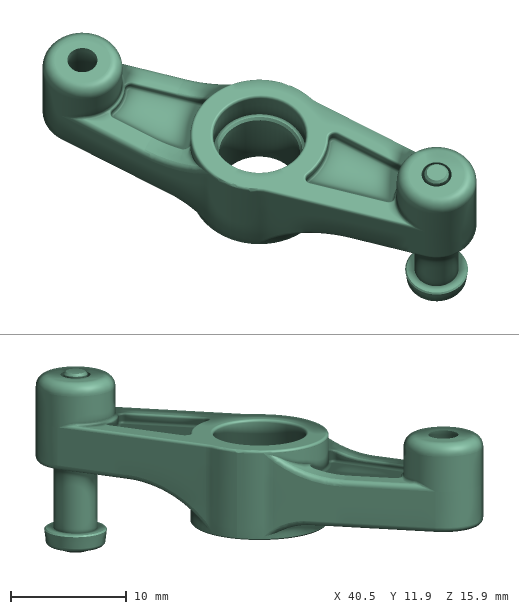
import cadquery as cq
import math

BOSS_SPACING = 33.55
BOSS_RADIUS = 3.45
BOSS_CROWN = 1.0
BOSS_HOLE_RADIUS = 1.3
BOSS_FOOT = 0.25

HUB_RADIUS = 5.96
HUB_HEIGHT = 8.0
BORE_RADIUS = 3.495
BORE_CHAMFER = 0.2
HUB_BOTTOM_EDGE = 0.12
SEAT_RADIUS = 4.0
SEAT_DEPTH = 2.5

FLANK_ANGLE = 7.6
FLANK_BLEND = 3.05

LEFT_BOTTOM = 1.45
LEFT_TOP = 5.65
LEFT_BOSS_TOP = 9.35
LEFT_TOP_SWEEP_START = 9.05
LEFT_TOP_SWEEP = 10.1
LEFT_BOTTOM_SWEEP_START = 6.25
LEFT_BOTTOM_SWEEP = 5.65

RIGHT_BOTTOM = 3.88
RIGHT_BOSS_TOP = 11.65
RIGHT_SWEEP_START = 10.63
RIGHT_SWEEP = 10.1

ARM_EDGE = 0.5
RIM_EDGE = 0.25
SWEEP_OVERRUN = 1.2

POCKET_WALL = 2.0
RIGHT_POCKET_DEPTH = 0.9
LEFT_POCKET_DEPTH = 0.53
POCKET_CORNER = 0.5
POCKET_FLOOR_FILLET = 0.25
POCKET_RIM_FILLET = 0.2

SHANK_RADIUS = 1.9
STUB_RADIUS = 1.05
STUB_CHAMFER = 0.2
STUB_TOP = 11.9
HEAD_RADIUS = 2.7
HEAD_LOWER_RADIUS = 2.6
HEAD_TOP = -2.05
HEAD_BOTTOM = -4.0
HEAD_LIP = 0.12
HEAD_SIDE = 1.15
HEAD_CORNER = 0.4
HEAD_FLAT_RADIUS = 1.15

BOSS_X = BOSS_SPACING / 2
THETA = math.radians(FLANK_ANGLE)
FLANK_DISTANCE = BOSS_X * math.sin(THETA) + BOSS_RADIUS
NORMAL_ANGLE = math.pi / 2 - THETA


COS_45 = math.sqrt(0.5)
TOLERANCE = 0.005


def polar(radius, angle, center_x=0.0):
    """Point at a radius and angle around a center on the X axis."""
    return (center_x + radius * math.cos(angle), radius * math.sin(angle))


def mirrored(point):
    """The same point on the other side of the X axis."""
    return (point[0], -point[1])


def sweep_drop(radius, run):
    """Distance an arc departs from its tangent line after a run along that line."""
    return radius - math.sqrt(radius**2 - run**2)


def sweep_to_hub(sketch, radius, start, rise, direction):
    """Arc leaving a flat at `start`, toward the hub, until it has risen by `rise`."""
    run = math.sqrt(radius**2 - (radius - rise) ** 2)
    middle = (start[0] - run / 2, start[1] + direction * sweep_drop(radius, run / 2))
    end = (start[0] - run, start[1] + direction * rise)
    return sketch.threePointArc(middle, end)


def arm_plan(height):
    """Half of the rocker outline on the +X side, extruded this far above and below Z = 0."""
    blend_distance = HUB_RADIUS + FLANK_BLEND
    hub_angle = NORMAL_ANGLE - math.acos((FLANK_DISTANCE + FLANK_BLEND) / blend_distance)
    center = polar(blend_distance, hub_angle)

    def blend_point(angle):
        return (center[0] - FLANK_BLEND * math.cos(angle), center[1] - FLANK_BLEND * math.sin(angle))

    hub_top = (0, HUB_RADIUS)
    hub_middle = polar(HUB_RADIUS, (hub_angle + math.pi / 2) / 2)
    hub_end = polar(HUB_RADIUS, hub_angle)
    blend_middle = blend_point((hub_angle + NORMAL_ANGLE) / 2)
    blend_end = blend_point(NORMAL_ANGLE)
    boss_start = polar(BOSS_RADIUS, NORMAL_ANGLE, BOSS_X)
    boss_tip = (BOSS_X + BOSS_RADIUS, 0)
    return (
        cq.Workplane("XY", origin=(0, 0, -height))
        .moveTo(*hub_top)
        .threePointArc(hub_middle, hub_end)
        .threePointArc(blend_middle, blend_end)
        .lineTo(*boss_start)
        .threePointArc(boss_tip, mirrored(boss_start))
        .lineTo(*mirrored(blend_end))
        .threePointArc(mirrored(blend_middle), mirrored(hub_end))
        .threePointArc(mirrored(hub_middle), mirrored(hub_top))
        .close()
        .extrude(2 * height)
    )


def long_edges(arm, upper, split_height):
    """Edges that run along the arm, above or below a given height."""
    end_x = arm.val().BoundingBox().xmin

    def wanted(edge):
        middle = edge.Center()
        return (middle.z > split_height) == upper and middle.x > end_x + TOLERANCE

    edges = [edge for edge in arm.edges("(not |Z) and (not |Y)").vals() if wanted(edge)]
    return arm.newObject(edges)


def arm_from_profile(profile):
    """Cut the outline to a side profile given in X and Z."""
    web = profile.extrude(HUB_RADIUS, both=True)
    return arm_plan(2 * HUB_HEIGHT).intersect(web)


def left_arm():
    """Low arm, shaped on the +X side; its upper and lower faces sweep into the hub."""
    far_x = BOSS_X + 2 * BOSS_RADIUS
    ceiling = HUB_HEIGHT + SWEEP_OVERRUN
    floor = -SWEEP_OVERRUN

    under_top = cq.Workplane("XZ").moveTo(far_x, LEFT_TOP).lineTo(LEFT_TOP_SWEEP_START, LEFT_TOP)
    under_top = sweep_to_hub(
        under_top, LEFT_TOP_SWEEP, (LEFT_TOP_SWEEP_START, LEFT_TOP), ceiling - LEFT_TOP, 1
    )
    under_top = under_top.lineTo(0, ceiling).lineTo(0, floor).lineTo(far_x, floor).close()

    over_bottom = cq.Workplane("XZ").moveTo(far_x, LEFT_BOTTOM).lineTo(LEFT_BOTTOM_SWEEP_START, LEFT_BOTTOM)
    over_bottom = sweep_to_hub(
        over_bottom, LEFT_BOTTOM_SWEEP, (LEFT_BOTTOM_SWEEP_START, LEFT_BOTTOM), LEFT_BOTTOM - floor, -1
    )
    over_bottom = over_bottom.lineTo(0, floor).lineTo(0, ceiling).lineTo(far_x, ceiling).close()

    arm = arm_from_profile(under_top).intersect(over_bottom.extrude(HUB_RADIUS, both=True))
    middle = (LEFT_TOP + LEFT_BOTTOM) / 2
    arm = long_edges(arm, True, middle).fillet(ARM_EDGE)
    return long_edges(arm, False, middle).fillet(ARM_EDGE)


def right_arm():
    """High arm, level with the hub top; its underside sweeps down the hub."""
    far_x = BOSS_X + 2 * BOSS_RADIUS
    profile = cq.Workplane("XZ").moveTo(far_x, RIGHT_BOTTOM).lineTo(RIGHT_SWEEP_START, RIGHT_BOTTOM)
    profile = sweep_to_hub(
        profile, RIGHT_SWEEP, (RIGHT_SWEEP_START, RIGHT_BOTTOM), RIGHT_BOTTOM + SWEEP_OVERRUN, -1
    )
    profile = profile.lineTo(0, -SWEEP_OVERRUN).lineTo(0, HUB_HEIGHT).lineTo(far_x, HUB_HEIGHT).close()
    arm = arm_from_profile(profile)
    return long_edges(arm, False, (RIGHT_BOTTOM + HUB_HEIGHT) / 2).fillet(ARM_EDGE)


def slab(bottom, top):
    """Layer between two heights, wider than the whole rocker."""
    size = 3 * BOSS_SPACING
    return cq.Workplane("XY", origin=(0, 0, bottom)).rect(size, size).extrude(top - bottom)


def pocket(floor):
    """Pocket space on the +X side, concentric with the hub and the boss at its ends."""
    boss_end_radius = BOSS_RADIUS + BOSS_FOOT
    hub_corner = polar(HUB_RADIUS, NORMAL_ANGLE - math.acos((FLANK_DISTANCE - POCKET_WALL) / HUB_RADIUS))
    boss_corner = polar(
        boss_end_radius, NORMAL_ANGLE + math.acos((BOSS_RADIUS - POCKET_WALL) / boss_end_radius), BOSS_X
    )
    return (
        cq.Workplane("XY", origin=(0, 0, floor))
        .moveTo(*hub_corner)
        .lineTo(*boss_corner)
        .threePointArc((BOSS_X - boss_end_radius, 0), mirrored(boss_corner))
        .lineTo(*mirrored(hub_corner))
        .threePointArc((HUB_RADIUS, 0), hub_corner)
        .close()
        .extrude(HUB_HEIGHT)
        .edges("|Z")
        .fillet(POCKET_CORNER)
        .faces("<Z")
        .edges()
        .fillet(POCKET_FLOOR_FILLET)
    )


def cut_pocket(arm, arm_top, depth):
    """Sink a pocket into an arm and round its rim."""
    tool = pocket(arm_top - depth)
    arm = arm.cut(tool)
    reach = tool.val().BoundingBox()

    def on_rim(edge):
        box = edge.BoundingBox()
        inside = box.xmin > reach.xmin - TOLERANCE and box.xmax < reach.xmax + TOLERANCE
        inside = inside and abs(box.ymin) < reach.ymax + TOLERANCE and abs(box.ymax) < reach.ymax + TOLERANCE
        return inside and box.zmin > arm_top - TOLERANCE

    rim = [edge for edge in arm.edges("not |Y").vals() if on_rim(edge)]
    return arm.newObject(rim).fillet(POCKET_RIM_FILLET)


def boss(bottom, top):
    """Round boss with a rounded crown."""
    return (
        cq.Workplane("XY", origin=(BOSS_X, 0, bottom))
        .circle(BOSS_RADIUS)
        .extrude(top - bottom)
        .faces(">Z")
        .edges()
        .fillet(BOSS_CROWN)
    )


def with_boss(arm, arm_bottom, arm_top, boss_top):
    """Stand a boss on the arm end and round the edge where it rises from the arm."""
    arm = arm.union(boss(arm_bottom + ARM_EDGE, boss_top))

    def at_foot(edge):
        box = edge.BoundingBox()
        level = abs(box.zmin - arm_top) < TOLERANCE and abs(box.zmax - arm_top) < TOLERANCE
        return level and abs(box.xmin - (BOSS_X - BOSS_RADIUS)) < TOLERANCE

    foot = [edge for edge in arm.edges("%CIRCLE").vals() if at_foot(edge)]
    return arm.newObject(foot).fillet(BOSS_FOOT)


def hub_bore():
    """Through bore with a bearing seat and rounded mouth."""
    seat_floor = HUB_HEIGHT - SEAT_DEPTH
    mouth = SEAT_RADIUS + RIM_EDGE
    ease = RIM_EDGE * COS_45
    return (
        cq.Workplane("XZ")
        .lineTo(BORE_RADIUS, 0)
        .lineTo(BORE_RADIUS, seat_floor - BORE_CHAMFER)
        .lineTo(BORE_RADIUS + BORE_CHAMFER, seat_floor)
        .lineTo(SEAT_RADIUS, seat_floor)
        .lineTo(SEAT_RADIUS, HUB_HEIGHT - RIM_EDGE)
        .threePointArc((mouth - ease, HUB_HEIGHT - RIM_EDGE + ease), (mouth, HUB_HEIGHT))
        .lineTo(0, HUB_HEIGHT)
        .close()
        .revolve(360, (0, 0, 0), (0, 1, 0))
    )


def hub_clearance():
    """Space above and below the hub, kept free of the left arm's swept ends."""
    above = slab(HUB_HEIGHT - RIM_EDGE, 2 * HUB_HEIGHT)
    below = slab(-HUB_HEIGHT, HUB_BOTTOM_EDGE)
    hub_side = cq.Workplane("XY", origin=(0, 0, -HUB_HEIGHT)).rect(2 * HUB_RADIUS, 2 * BOSS_SPACING)
    return above.union(below).intersect(hub_side.extrude(4 * HUB_HEIGHT))


def make_rocker():
    """Hub with a high arm on the +X side and a low arm on the -X side."""
    hub = cq.Workplane("XY").circle(HUB_RADIUS).extrude(HUB_HEIGHT)
    hub = hub.faces("<Z").edges().chamfer(HUB_BOTTOM_EDGE)

    right = right_arm().intersect(slab(HUB_BOTTOM_EDGE, HUB_HEIGHT)).union(hub)
    right = right.faces(">Z").edges().fillet(RIM_EDGE)
    right = with_boss(right, RIGHT_BOTTOM, HUB_HEIGHT, RIGHT_BOSS_TOP)
    right = cut_pocket(right, HUB_HEIGHT, RIGHT_POCKET_DEPTH)

    left = with_boss(left_arm(), LEFT_BOTTOM, LEFT_TOP, LEFT_BOSS_TOP)
    left = cut_pocket(left, LEFT_TOP, LEFT_POCKET_DEPTH)
    left = left.cut(hub_clearance()).mirror("YZ")

    holes = (
        cq.Workplane("XY")
        .pushPoints([(-BOSS_X, 0), (BOSS_X, 0)])
        .circle(BOSS_HOLE_RADIUS)
        .extrude(RIGHT_BOSS_TOP)
    )
    return right.union(left).cut(hub_bore()).cut(holes)


def make_pin():
    """Headed pin whose shoulder bears on the right boss; its thinner stub clears the boss hole."""
    side_bottom = HEAD_TOP - HEAD_SIDE
    dome_radius = HEAD_LOWER_RADIUS - HEAD_CORNER
    dome_top = side_bottom - HEAD_CORNER
    bulge = HEAD_CORNER * COS_45
    corner_middle = (dome_radius + bulge, side_bottom - bulge)
    return (
        cq.Workplane("XZ", origin=(BOSS_X, 0, 0))
        .moveTo(0, HEAD_BOTTOM)
        .lineTo(HEAD_FLAT_RADIUS, HEAD_BOTTOM)
        .lineTo(dome_radius, dome_top)
        .threePointArc(corner_middle, (HEAD_LOWER_RADIUS, side_bottom))
        .lineTo(HEAD_RADIUS, HEAD_TOP - HEAD_LIP)
        .lineTo(HEAD_RADIUS - HEAD_LIP, HEAD_TOP)
        .lineTo(SHANK_RADIUS, HEAD_TOP)
        .lineTo(SHANK_RADIUS, RIGHT_BOTTOM)
        .lineTo(STUB_RADIUS, RIGHT_BOTTOM)
        .lineTo(STUB_RADIUS, STUB_TOP - STUB_CHAMFER)
        .lineTo(STUB_RADIUS - STUB_CHAMFER, STUB_TOP)
        .lineTo(0, STUB_TOP)
        .close()
        .revolve(360, (0, 0, 0), (0, 1, 0))
    )


rocker = make_rocker()
pin = make_pin()

result = cq.Compound.makeCompound([rocker.val(), pin.val()])